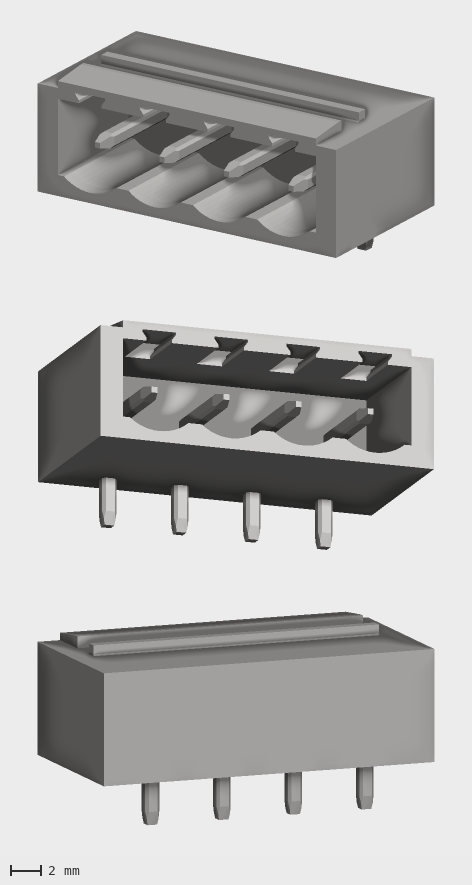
import cadquery as cq


PIN_COUNT = 4
PITCH = 5.08
PIN_XS = [(i - (PIN_COUNT - 1) / 2) * PITCH for i in range(PIN_COUNT)]

LENGTH = 23.52
DEPTH = 12.0
HEIGHT = 7.62

CAVITY_WIDTH = PIN_COUNT * PITCH
CAVITY_DEPTH = 8.6
CAVITY_TOP = 6.87
CAVITY_FLOOR = 1.48

SCALLOP_DEPTH = 0.75
SCALLOP_HALF_WIDTH = 2.07

SLOT_WIDTH = 2.35
SLOT_NECK_WIDTH = 1.79
SLOT_DEPTH = 4.16
SLOT_LIP = 0.16
SLOT_SLOPE = 0.38
SLOT_SLOPE_TOP = HEIGHT - SLOT_LIP
SLOT_SLOPE_BOTTOM = SLOT_SLOPE_TOP - SLOT_SLOPE

LEDGE_DEPTH = 3.13
LEDGE_FLAT = 0.35
LEDGE_FRONT_TOP = 8.11
LEDGE_TOP = 8.42

RAIL_Y = 5.65
RAIL_WIDTH = 0.75
RAIL_HEIGHT = 0.7
RAIL_FLARE = 0.1

PIN_WIDTH = 1.0
PIN_CHAMFER = 0.19
PIN_Z = HEIGHT / 2
PIN_LEG_Y = 9.9
PIN_DROP = 3.2
CONTACT_TIP_Y = 0.9
CONTACT_TIP_WIDTH = 0.4
CONTACT_TAPER = 1.32
LEG_TIP_WIDTH = 0.68
LEG_TAPER = 0.92


def extrude_along_x(points, length):
    """Solid of a (Y, Z) outline, centred on X = 0."""
    return cq.Workplane("YZ").polyline(points).close().extrude(length / 2, both=True)


def extrude_from_front(outline, depth):
    """Solid of a closed XZ outline, running from the front face towards +Y."""
    return outline.close().extrude(-depth)


def make_ledge():
    return extrude_along_x(
        [
            (0, CAVITY_TOP),
            (0, LEDGE_FRONT_TOP),
            (LEDGE_DEPTH - LEDGE_FLAT, LEDGE_TOP),
            (LEDGE_DEPTH, LEDGE_TOP),
            (LEDGE_DEPTH, CAVITY_TOP),
        ],
        CAVITY_WIDTH,
    )


def make_rail():
    half = RAIL_WIDTH / 2
    foot = half + RAIL_FLARE
    flare_top = HEIGHT + RAIL_FLARE
    rail_top = HEIGHT + RAIL_HEIGHT
    return extrude_along_x(
        [
            (RAIL_Y - foot, HEIGHT),
            (RAIL_Y - half, flare_top),
            (RAIL_Y - half, rail_top),
            (RAIL_Y + half, rail_top),
            (RAIL_Y + half, flare_top),
            (RAIL_Y + foot, HEIGHT),
        ],
        CAVITY_WIDTH,
    )


def make_cavity():
    """Room for the plug: flat roof and sides, scalloped floor."""
    side = CAVITY_WIDTH / 2
    outline = cq.Workplane("XZ").moveTo(-side, CAVITY_TOP).lineTo(-side, CAVITY_FLOOR)
    for x in PIN_XS:
        outline = outline.lineTo(x - SCALLOP_HALF_WIDTH, CAVITY_FLOOR).threePointArc(
            (x, CAVITY_FLOOR - SCALLOP_DEPTH),
            (x + SCALLOP_HALF_WIDTH, CAVITY_FLOOR),
        )
    outline = outline.lineTo(side, CAVITY_FLOOR).lineTo(side, CAVITY_TOP)
    return extrude_from_front(outline, CAVITY_DEPTH)


def make_slot(x):
    """Dovetail slot, wide at the top face and narrow where it opens into the cavity."""
    half = SLOT_WIDTH / 2
    neck = SLOT_NECK_WIDTH / 2
    outline = cq.Workplane("XZ").polyline(
        [
            (x - half, HEIGHT),
            (x - half, SLOT_SLOPE_TOP),
            (x - neck, SLOT_SLOPE_BOTTOM),
            (x - neck, CAVITY_TOP),
            (x + neck, CAVITY_TOP),
            (x + neck, SLOT_SLOPE_BOTTOM),
            (x + half, SLOT_SLOPE_TOP),
            (x + half, HEIGHT),
        ]
    )
    return extrude_from_front(outline, SLOT_DEPTH)


def make_tip_cutter(tip_width, taper):
    """Square sleeve that tapers a bar pointing down -Z with its tip at the origin."""
    sleeve = cq.Workplane("XY").rect(2 * PIN_WIDTH, 2 * PIN_WIDTH).extrude(taper)
    point = (
        cq.Workplane("XY")
        .rect(tip_width, tip_width)
        .workplane(offset=taper)
        .rect(PIN_WIDTH, PIN_WIDTH)
        .loft(ruled=True)
    )
    return sleeve.cut(point)


def make_pin(x):
    """Right-angle pin: a contact reaching forward and a leg going down through the floor."""
    half = PIN_WIDTH / 2
    bar = extrude_along_x(
        [
            (CONTACT_TIP_Y, PIN_Z - half),
            (CONTACT_TIP_Y, PIN_Z + half),
            (PIN_LEG_Y + half, PIN_Z + half),
            (PIN_LEG_Y + half, -PIN_DROP),
            (PIN_LEG_Y - half, -PIN_DROP),
            (PIN_LEG_Y - half, PIN_Z - half),
        ],
        PIN_WIDTH,
    )
    bar = bar.faces("<X or >X").edges("not(<Y or <Z)").chamfer(PIN_CHAMFER)
    leg_cutter = make_tip_cutter(LEG_TIP_WIDTH, LEG_TAPER).translate((0, PIN_LEG_Y, -PIN_DROP))
    contact_cutter = (
        make_tip_cutter(CONTACT_TIP_WIDTH, CONTACT_TAPER)
        .rotate((0, 0, 0), (1, 0, 0), -90)
        .translate((0, CONTACT_TIP_Y, PIN_Z))
    )
    return bar.cut(leg_cutter).cut(contact_cutter).translate((x, 0, 0))


def make_housing(pins):
    body = cq.Workplane("XY").box(LENGTH, DEPTH, HEIGHT, centered=(True, False, False))
    body = body.union(make_ledge()).union(make_rail()).cut(make_cavity())
    for x in PIN_XS:
        body = body.cut(make_slot(x))
    for pin in pins:
        body = body.cut(pin)
    return body


pins = [make_pin(x) for x in PIN_XS]
housing = make_housing(pins)

result = cq.Compound.makeCompound([housing.solids().val(), *[pin.solids().val() for pin in pins]])